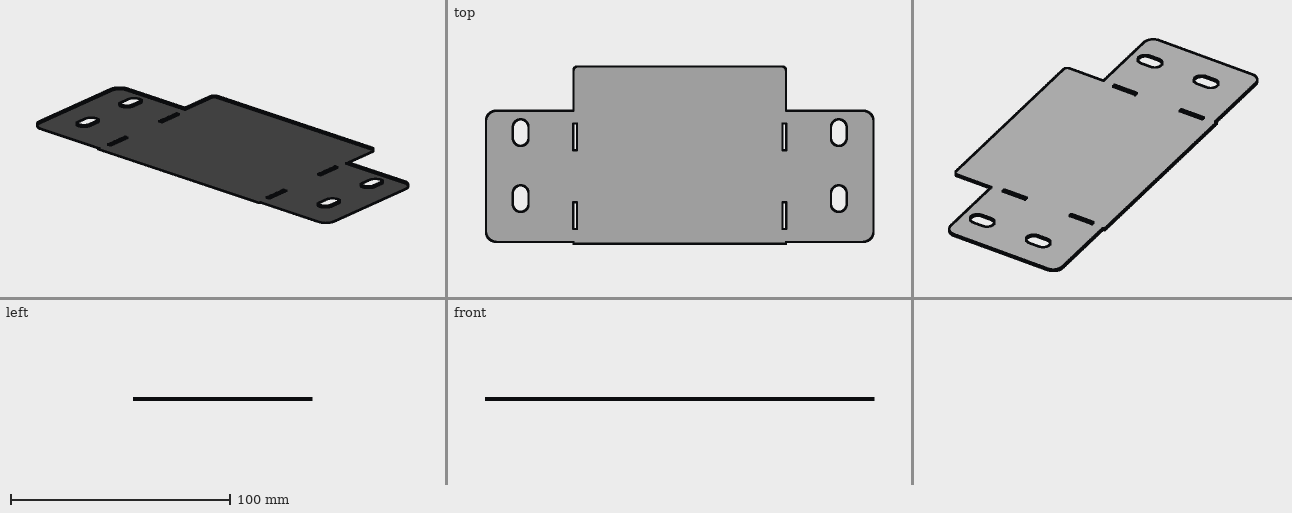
import cadquery as cq

length = 177.0
depth = 81.0
thickness = 1.0

wing_length = 40.0
panel_width = length - 2 * wing_length
wing_depth = 60.0
front_step = 0.9
panel_corner_radius = 2.0
wing_corner_radius = 5.0
wing_front = -depth / 2 + front_step
wing_back = wing_front + wing_depth

mount_slot_length = 12.0
mount_slot_width = 7.0
mount_slot_inset = 16.0
mount_slot_pitch = 30.1
mount_slot_back_offset = 10.1

narrow_slot_length = 12.0
narrow_slot_width = 1.6
narrow_slot_back_offset = 12.0
narrow_slot_pitch = 36.0


def plate_block(x_size, y_size, y_center, corner_radius, rounded_edges):
    """Rectangular sheet with the selected vertical edges rounded."""
    block = cq.Workplane("XY").box(x_size, y_size, thickness)
    return block.edges(rounded_edges).fillet(corner_radius).translate((0, y_center, 0))


def mirrored_pairs(x, back_y, pitch):
    """Two points along Y on each side of the YZ plane."""
    return [(side * x, y) for side in (-1, 1) for y in (back_y, back_y - pitch)]


panel = plate_block(panel_width, depth, 0, panel_corner_radius, "|Z and >Y")
wings = plate_block(length, wing_depth, (wing_front + wing_back) / 2, wing_corner_radius, "|Z")
plate = panel.union(wings)

mount_slots = (
    cq.Workplane("XY")
    .pushPoints(
        mirrored_pairs(
            length / 2 - mount_slot_inset,
            wing_back - mount_slot_back_offset,
            mount_slot_pitch,
        )
    )
    .slot2D(mount_slot_length, mount_slot_width, 90)
    .extrude(thickness, both=True)
)

narrow_slots = (
    cq.Workplane("XY")
    .pushPoints(
        mirrored_pairs(
            (panel_width - narrow_slot_width) / 2,
            wing_back - narrow_slot_back_offset,
            narrow_slot_pitch,
        )
    )
    .rect(narrow_slot_width, narrow_slot_length)
    .extrude(thickness, both=True)
)

result = plate.cut(mount_slots).cut(narrow_slots)